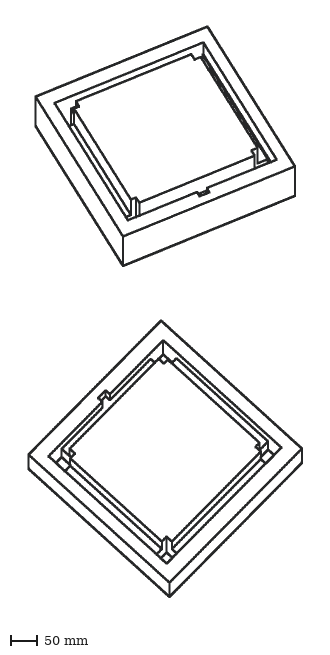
import cadquery as cq

length = 370.0
width = 367.0
rim_height = 95.5
total_height = 105.0

cavity_length = 310.0
cavity_width = 316.0
back_step_depth = 1.5
back_step_height = 1.5
ledge_height = 55.5

block_length = 268.2
block_width = 270.5
block_offset = 1.0

corner_opening = 34.8

notch_depth = 11.0
notch_width = 20.7


def box_between(x_range, y_range, z_range):
    """Box spanning the given (low, high) limits along each axis."""
    sizes = [high - low for low, high in (x_range, y_range, z_range)]
    corner = (x_range[0], y_range[0], z_range[0])
    return cq.Workplane("XY").box(*sizes, centered=False).translate(corner)


half_length = cavity_length / 2
half_width = cavity_width / 2
cavity_z = (ledge_height, rim_height)

housing = cq.Workplane("XY").box(length, width, rim_height, centered=(True, True, False))

cavity = box_between((-half_length, half_length), (-half_width, half_width), cavity_z)
back_relief = box_between(
    (-half_length, half_length),
    (half_width, half_width + back_step_depth),
    (ledge_height + back_step_height, rim_height),
)
notch = box_between(
    (half_length, half_length + notch_depth), (-notch_width / 2, notch_width / 2), cavity_z
)

block = (
    cq.Workplane("XY")
    .center(0, block_offset)
    .box(block_length, block_width, total_height, centered=(True, True, False))
)

corner_openings = (
    cq.Workplane("XY")
    .rect(cavity_length - corner_opening, cavity_width - corner_opening, forConstruction=True)
    .vertices()
    .rect(corner_opening, corner_opening)
    .extrude(total_height)
)

result = housing.cut(cavity).cut(back_relief).cut(notch).union(block).cut(corner_openings)